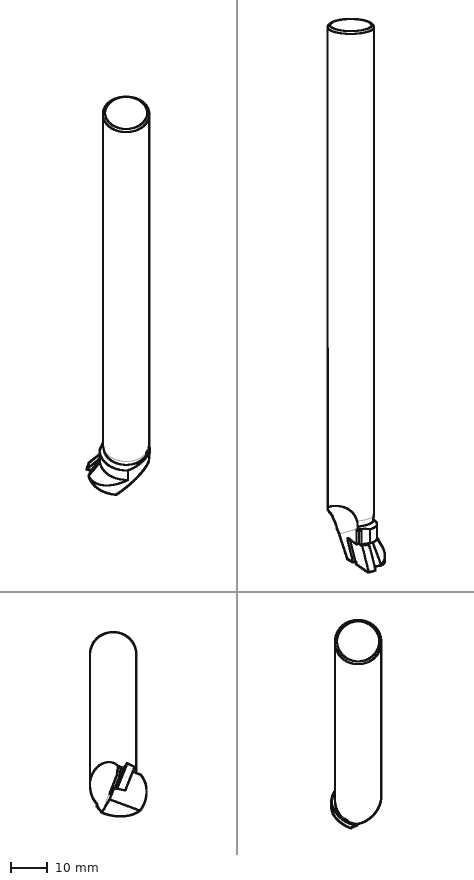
import cadquery as cq
import math

LENGTH = 153.6
SHANK_RADIUS = 12.8 / 2
TOP_CHAMFER = 0.6
NECK_TOP_Z = 13.7
NECK_BOTTOM_Z = 12.0
NECK_RADIUS = 6.1
COLLAR_RADIUS = 7.2
COLLAR_TOP_Z = 10.9
COLLAR_BOTTOM_Z = 6.9
FLARE_ANGLE = 28.0
HEAD_BOTTOM_Z = 0.9

TRIM_RADIUS = 8.53
TRIM_X = SHANK_RADIUS - TRIM_RADIUS
TRIM_Y = 0.2

SIDE_FLAT_X = -6.8
SLOPE_START_X = -6.3
SIDE_SLOPE = 0.5
HEEL_TOP_Z = 8.0
HEEL_BOTTOM_X = 0.3

FLUTE_FLOOR_Y = 0.9
FLUTE_RADIUS = 8.5
FLUTE_CENTER_Z = 8.9
FLUTE_TILT = 0.4
SEAT_STEP_X = -5.4

INSERT_FACE_Y = 0.2
INSERT_THICKNESS = 2.3
INSERT_EDGE = 7.8
INSERT_ANGLE = 55.0
INSERT_LEAD = 3.0
INSERT_RELIEF = 7.0
NOSE_RADIUS = 0.3
TIP_X = -11.14

MARGIN = 15.4


def prism_xz(points, y_min, y_max):
    """Extrude an XZ outline between two Y levels."""
    profile = cq.Workplane("XZ", origin=(0, y_max, 0)).polyline(points).close()
    return profile.extrude(y_max - y_min)


def insert_outline():
    """Sharp-cornered rhombus whose rounded nose will touch X = TIP_X and Z = 0."""
    lead = math.radians(INSERT_LEAD)
    steep = math.radians(INSERT_LEAD + INSERT_ANGLE)
    half = math.radians(INSERT_ANGLE / 2)
    nose_distance = NOSE_RADIUS / math.sin(half)
    x = TIP_X + NOSE_RADIUS - nose_distance * math.cos(lead + half)
    z = NOSE_RADIUS - nose_distance * math.sin(lead + half)
    along = (INSERT_EDGE * math.cos(lead), INSERT_EDGE * math.sin(lead))
    up = (INSERT_EDGE * math.cos(steep), INSERT_EDGE * math.sin(steep))
    return [
        (x, z),
        (x + along[0], z + along[1]),
        (x + along[0] + up[0], z + along[1] + up[1]),
        (x + up[0], z + up[1]),
    ]


def insert_sketch():
    corners = [cq.Vector(x, z) for x, z in insert_outline()]
    outline = cq.Wire.makePolygon(corners, close=True)
    return cq.Sketch().face(outline).vertices().fillet(NOSE_RADIUS)


def make_insert():
    """Insert that narrows away from its cutting face."""
    face = cq.Workplane("XZ", origin=(0, INSERT_FACE_Y, 0)).placeSketch(insert_sketch())
    return face.extrude(INSERT_THICKNESS, taper=INSERT_RELIEF)


def make_shank():
    profile = [
        (0, NECK_TOP_Z),
        (SHANK_RADIUS, NECK_TOP_Z),
        (SHANK_RADIUS, LENGTH - TOP_CHAMFER),
        (SHANK_RADIUS - TOP_CHAMFER, LENGTH),
        (0, LENGTH),
    ]
    return cq.Workplane("XZ").polyline(profile).close().revolve(360, (0, 0), (0, 1))


def make_head():
    """Neck, collar and flare, trimmed by the off-centre cylinder and the side flats."""
    drop = COLLAR_BOTTOM_Z - HEAD_BOTTOM_Z
    flare_radius = COLLAR_RADIUS + drop * math.tan(math.radians(FLARE_ANGLE))
    profile = [
        (0, HEAD_BOTTOM_Z),
        (flare_radius, HEAD_BOTTOM_Z),
        (COLLAR_RADIUS, COLLAR_BOTTOM_Z),
        (COLLAR_RADIUS, COLLAR_TOP_Z),
        (NECK_RADIUS, NECK_BOTTOM_Z),
        (SHANK_RADIUS, NECK_TOP_Z),
        (0, NECK_TOP_Z),
    ]
    head = cq.Workplane("XZ").polyline(profile).close().revolve(360, (0, 0), (0, 1))
    trim = cq.Workplane("XY").center(TRIM_X, TRIM_Y).circle(TRIM_RADIUS).extrude(NECK_TOP_Z)
    sides = prism_xz(
        [
            (SLOPE_START_X - SIDE_SLOPE * drop, HEAD_BOTTOM_Z),
            (HEEL_BOTTOM_X, HEAD_BOTTOM_Z),
            (SHANK_RADIUS, HEEL_TOP_Z),
            (SHANK_RADIUS, NECK_TOP_Z),
            (SIDE_FLAT_X, NECK_TOP_Z),
            (SIDE_FLAT_X, COLLAR_BOTTOM_Z),
            (SLOPE_START_X, COLLAR_BOTTOM_Z),
        ],
        -MARGIN,
        MARGIN,
    )
    return head.intersect(trim).intersect(sides)


def flute_cutter():
    """Quarter-round run-out above a flat floor, swept along a line falling toward +X."""
    center_y = FLUTE_FLOOR_Y + FLUTE_RADIUS
    diagonal = FLUTE_RADIUS * math.sqrt(0.5)
    start_rise = FLUTE_TILT * MARGIN
    sweep = cq.Vector(2 * MARGIN, 0, -2 * start_rise)
    profile = (
        cq.Workplane("YZ", origin=(-MARGIN, 0, start_rise))
        .moveTo(FLUTE_FLOOR_Y, -MARGIN)
        .lineTo(FLUTE_FLOOR_Y, FLUTE_CENTER_Z)
        .threePointArc(
            (center_y - diagonal, FLUTE_CENTER_Z + diagonal),
            (center_y, FLUTE_CENTER_Z + FLUTE_RADIUS),
        )
        .lineTo(center_y, -MARGIN)
        .close()
    )
    return cq.Workplane(cq.Solid.extrudeLinear(profile.val(), [], sweep))


def seat_step():
    """Lowers the flute floor to the insert face beside the left flat."""
    outline = [
        (-MARGIN, 0),
        (SEAT_STEP_X, 0),
        (SEAT_STEP_X, COLLAR_TOP_Z),
        (-MARGIN, COLLAR_TOP_Z),
    ]
    return prism_xz(outline, INSERT_FACE_Y, FLUTE_FLOOR_Y)


def insert_opening():
    """Clears the body in front of the insert face."""
    return (
        cq.Workplane("XZ", origin=(0, INSERT_FACE_Y, 0))
        .placeSketch(insert_sketch())
        .extrude(INSERT_FACE_Y - FLUTE_FLOOR_Y)
    )


insert = make_insert()
holder = make_shank().union(make_head()).cut(flute_cutter()).cut(seat_step())
holder = holder.cut(insert_opening()).cut(insert)

result = cq.Compound.makeCompound([*holder.solids().vals(), insert.val()])